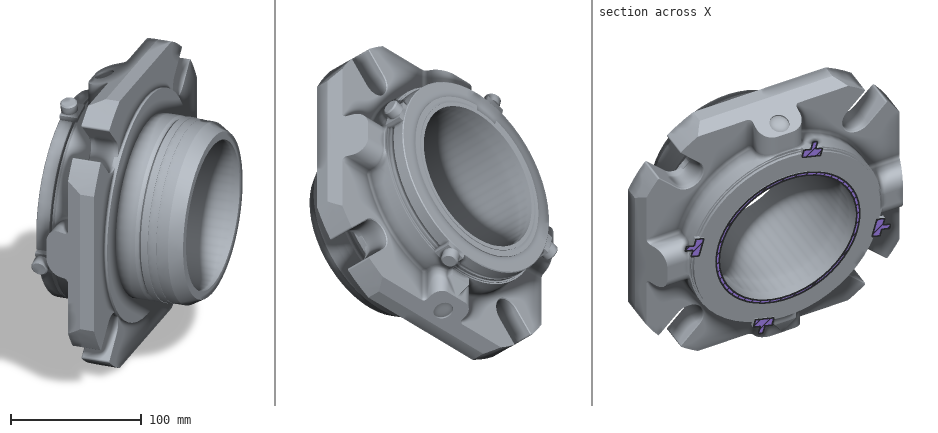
import cadquery as cq
import math


total_length = 116.0
bore_radius = 58.78
sleeve_radius = 61.95

snap_ring_radius = 67.0
snap_ring_front = 0.7
snap_ring_gap_angle = 18.3

ring_radius = 80.0
ring_front = 1.5
ring_back = 12.2
ring_edge_chamfer = 0.7
lug_setback = 0.5
lug_top_radius = 84.2
lug_root_depth = 3.4
lug_width = 17.0
lug_count = 4
lug_offset_angle = 15
screw_diameter = 13.0
screw_top_radius = 91.8
screw_axis_x = 7.2
screw_edge_chamfer = 1.1

collar_front = 14.5
collar_back = 16.7
hub_step_radius = 81.5
hub_front = 17.5
hub_radius = 82.5
hub_root_fillet = 2.3

plate_size = 225.6
plate_front = 38.4
plate_back = 61.2
plate_corner_radius = 126.4
slope_start = 49.9
slope_angle = 20
slot_width = 25.3
slot_center_radius = 102.7
slot_count = 4
slot_rim_chamfer = 0.7
slot_mouth_fillet = 1.4

boss_front = 18
boss_half_width = 19.0
boss_edge_radius = 12.2
boss_root_fillet = 3.2
lower_boss_front = 22.5
lower_boss_edge_radius = 9.5
recess_diameter = 15.3
recess_depth = 1.5
upper_recess_axis_x = 27.5
lower_recess_axis_x = 36.8

pointer_half_width = 10.4
pointer_draft = 15
pointer_shoulder = 88.7
pointer_tip = 102.7

shoulder_radius = 91.0
shoulder_front = 58.5
shoulder_back = 63.6
spigot_radius = 71.87
lead_start = 79.2
lead_end_radius = 70.75
groove_radius = 69.61
groove_front = 82.4
groove_back = 84.0
land_back = 89.5
rear_land_radius = 71.42
rear_land_back = 96.4
nose_radius = 71.2
nose_chamfer_start = 105.8
nose_end_radius = 65.2

half_size = plate_size / 2
position_tolerance = 0.02
slope_drop_per_length = math.tan(math.radians(slope_angle))


def cylinder(radius, start, end):
    return cq.Workplane("YZ", origin=(start, 0, 0)).circle(radius).extrude(end - start)


def turn_about_axis(solid, angle):
    return solid.rotate((0, 0, 0), (1, 0, 0), angle)


def is_on_hub(edge):
    """True for edges whose middle lies on the hub surface, clear of its front rim."""
    middle = edge.positionAt(0.5)
    on_surface = abs(math.hypot(middle.y, middle.z) - hub_radius) < position_tolerance
    return middle.x > position_tolerance and on_surface


def make_hub_with_bosses():
    """Hub and its four bosses; the fillet at the foot of the bosses runs around their fronts."""
    hub = cylinder(hub_radius, 0, plate_back)
    for angle in (0, 90, 270):
        hub = hub.union(turn_about_axis(make_boss(boss_front, boss_edge_radius), angle))
    hub = hub.union(turn_about_axis(make_boss(lower_boss_front, lower_boss_edge_radius), 180))
    plate = (
        cq.Workplane("YZ", origin=(plate_front, 0, 0))
        .rect(plate_size, plate_size)
        .extrude(plate_back - plate_front)
    )
    flange = plate.union(hub)
    hub_edges = [edge for edge in flange.edges().vals() if is_on_hub(edge)]
    flange = flange.newObject(hub_edges).fillet(hub_root_fillet)
    return flange.cut(cylinder(plate_size, 0, hub_front))


def make_boss(front, edge_radius):
    """Boss towards +Z; its rounded front edges and root fillets are in the swept outline."""
    corner_x = front + edge_radius
    corner_y = boss_half_width - edge_radius
    corner_run = edge_radius * math.sqrt(0.5)
    root_x = plate_front - boss_root_fillet
    root_y = boss_half_width + boss_root_fillet
    root_run = boss_root_fillet * math.sqrt(0.5)
    half = (
        cq.Workplane("XY")
        .moveTo(plate_front, 0)
        .lineTo(front, 0)
        .lineTo(front, corner_y)
        .threePointArc((corner_x - corner_run, corner_y + corner_run), (corner_x, boss_half_width))
        .lineTo(root_x, boss_half_width)
        .threePointArc((root_x + root_run, root_y - root_run), (plate_front, root_y))
        .close()
        .extrude(half_size)
    )
    return half.union(half.mirror("XZ"))


def sloped_envelope():
    """Block whose +Z and -Z sides lean inwards towards the front."""
    edge_at_front = half_size - slope_start * slope_drop_per_length
    return (
        cq.Workplane("XZ")
        .moveTo(plate_back, half_size)
        .lineTo(slope_start, half_size)
        .lineTo(0, edge_at_front)
        .lineTo(0, -edge_at_front)
        .lineTo(slope_start, -half_size)
        .lineTo(plate_back, -half_size)
        .close()
        .extrude(half_size, both=True)
    )


def slot_outline(width):
    """Open slot running outwards along +Z from its rounded end, started on the plate front."""
    half_width = width / 2
    return (
        cq.Workplane("YZ", origin=(plate_front, 0, 0))
        .moveTo(half_width, plate_size)
        .lineTo(half_width, slot_center_radius)
        .threePointArc((0, slot_center_radius - half_width), (-half_width, slot_center_radius))
        .lineTo(-half_width, plate_size)
        .close()
    )


def make_slot():
    slot = slot_outline(slot_width).extrude(plate_back - plate_front)
    rim = slot_outline(slot_width + 2 * slot_rim_chamfer).extrude(slot_rim_chamfer, taper=45)
    return slot.union(rim)


def make_recess(recess_axis_x):
    """Shallow round recess square to the sloped face of the boss towards +Z."""
    face_z = half_size - (slope_start - recess_axis_x) * slope_drop_per_length
    recess = cq.Workplane("XY").circle(recess_diameter / 2).extrude(recess_depth, both=True)
    return recess.rotate((0, 0, 0), (0, 1, 0), -slope_angle).translate((recess_axis_x, 0, face_z))


def is_slot_mouth(edge):
    """True for the corner edges where the slot walls meet the rounded plate corners."""
    middle = edge.positionAt(0.5)
    on_corner = abs(math.hypot(middle.y, middle.z) - plate_corner_radius) < position_tolerance
    return on_corner and max(abs(middle.y), abs(middle.z)) < half_size - position_tolerance


def make_flange():
    flange = make_hub_with_bosses()
    flange = flange.intersect(sloped_envelope())
    flange = flange.intersect(turn_about_axis(sloped_envelope(), 90))
    flange = flange.intersect(cylinder(plate_corner_radius, 0, plate_back))
    for index in range(slot_count):
        flange = flange.cut(turn_about_axis(make_slot(), 45 + index * 360 / slot_count))
    mouth_edges = [edge for edge in flange.edges("|X").vals() if is_slot_mouth(edge)]
    flange = flange.newObject(mouth_edges).fillet(slot_mouth_fillet)
    flange = flange.cut(make_recess(upper_recess_axis_x))
    flange = flange.cut(turn_about_axis(make_recess(lower_recess_axis_x), 180))
    return flange


def make_pointer():
    """Arrow on the front of the lower boss: a flat shank and a head that slopes down to the tip."""
    depth = lower_boss_front - boss_front
    outline = (
        cq.Workplane("YZ", origin=(lower_boss_front, 0, 0))
        .polyline([
            (-pointer_half_width, -ring_radius),
            (pointer_half_width, -ring_radius),
            (pointer_half_width, -pointer_shoulder),
            (0, -pointer_tip),
            (-pointer_half_width, -pointer_shoulder),
        ])
        .close()
        .extrude(-depth, taper=pointer_draft)
    )
    side_profile = (
        cq.Workplane("XZ")
        .polyline([
            (boss_front, -ring_radius),
            (boss_front, -pointer_shoulder),
            (lower_boss_front, -pointer_tip),
            (lower_boss_front, -ring_radius),
        ])
        .close()
        .extrude(pointer_half_width, both=True)
    )
    return outline.intersect(side_profile)


def make_lug_with_screw():
    lug_base_radius = ring_radius - lug_root_depth
    lug_front = ring_front + lug_setback
    lug = cq.Workplane("XY").box(
        collar_back - lug_front,
        lug_width,
        lug_top_radius - lug_base_radius,
        centered=(False, True, False),
    ).translate((lug_front, 0, lug_base_radius))
    screw = (
        cq.Workplane("XY", origin=(screw_axis_x, 0, lug_top_radius))
        .circle(screw_diameter / 2)
        .extrude(screw_top_radius - lug_top_radius)
        .faces(">Z")
        .chamfer(screw_edge_chamfer)
    )
    return lug.union(screw)


def make_clamping_ring():
    ring = cylinder(ring_radius, ring_front, ring_back).edges().chamfer(ring_edge_chamfer)
    for index in range(lug_count):
        angle = lug_offset_angle + index * 360 / lug_count
        ring = ring.union(turn_about_axis(make_lug_with_screw(), angle))
    return ring


def make_snap_ring():
    ring = (
        cq.Workplane("XY")
        .moveTo(snap_ring_front, 0)
        .lineTo(snap_ring_front, snap_ring_radius)
        .lineTo(ring_front, snap_ring_radius)
        .lineTo(ring_front, 0)
        .close()
        .revolve(360 - snap_ring_gap_angle, (0, 0, 0), (1, 0, 0))
    )
    return turn_about_axis(ring, 90 + snap_ring_gap_angle)


def make_spigot():
    return (
        cq.Workplane("XY")
        .moveTo(plate_front, 0)
        .lineTo(plate_front, spigot_radius)
        .lineTo(lead_start, spigot_radius)
        .lineTo(groove_front, lead_end_radius)
        .lineTo(groove_front, groove_radius)
        .lineTo(groove_back, groove_radius)
        .lineTo(groove_back, spigot_radius)
        .lineTo(land_back, spigot_radius)
        .lineTo(land_back, rear_land_radius)
        .lineTo(rear_land_back, rear_land_radius)
        .lineTo(rear_land_back, nose_radius)
        .lineTo(nose_chamfer_start, nose_radius)
        .lineTo(total_length, nose_end_radius)
        .lineTo(total_length, 0)
        .close()
        .revolve(360, (0, 0, 0), (1, 0, 0))
    )


body = (
    make_flange()
    .union(make_pointer())
    .union(cylinder(sleeve_radius, 0, plate_front))
    .union(make_snap_ring())
    .union(cylinder(ring_radius, collar_front, hub_front))
    .union(cylinder(hub_step_radius, collar_back, hub_front))
    .union(make_clamping_ring())
    .union(cylinder(shoulder_radius, shoulder_front, shoulder_back))
    .union(make_spigot())
)
result = body.cut(cylinder(bore_radius, 0, total_length))